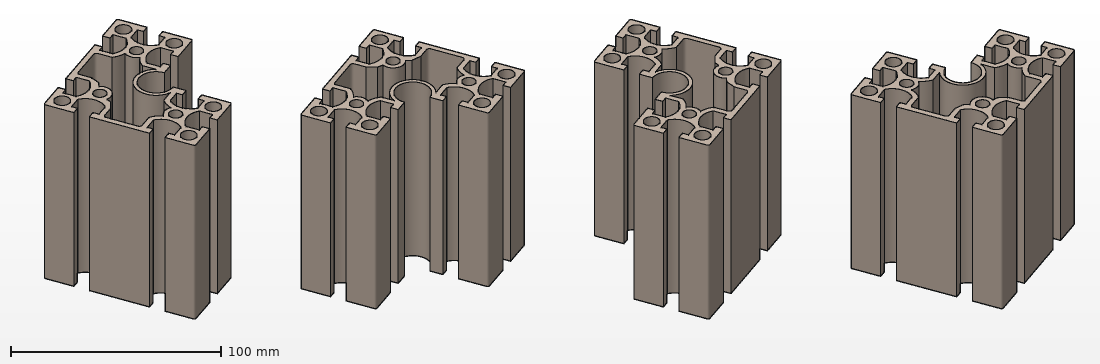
import cadquery as cq
import math

length = 100.0
cell = 40.0
side = 2 * cell
outer_fillet = 1.0

slot_opening = 8.2
slot_width = 14.5
slot_depth = 14.0
lip_thickness = 4.0
slot_floor_radius = 10.0

slot_wall = 2.9
elbow_wall = 4.0
elbow_shoulder_chamfer = 3.0
outer_wall = 3.0
boss_radius = 5.9
core_hole_radius = 3.4
corner_hole_radius = 4.0
corner_hole_inset = 6.6
cavity_fillet = 1.5

channel_radius = 9.0
channel_wall = 2.0

low = cell / 2
high = cell + low
slot_half_span = slot_width / 2 + slot_wall
cavity_end = high - slot_half_span
near = corner_hole_inset
core_holes = [(low, low), (low, high), (high, low)]
corner_holes = [
    (near, near),
    (near, side - near),
    (cell - near, side - near),
    (side - near, near),
    (side - near, cell - near),
]

elbow_slots = [
    (0, low, 0),
    (low, 0, 90),
]
arm_slots = [
    (0, high, 0),
    (cell, high, 180),
    (high, 0, 90),
    (high, cell, 270),
]
end_slots = [
    (low, side, 270),
    (side, low, 180),
]


def block(x0, y0, x1, y1):
    """Full-length block between two opposite corners."""
    middle = ((x0 + x1) / 2, (y0 + y1) / 2, 0)
    return cq.Workplane("XY").rect(x1 - x0, y1 - y0).extrude(length).translate(middle)


def bar(x, y, radius):
    """Full-length round bar."""
    return cq.Workplane("XY").center(x, y).circle(radius).extrude(length)


def round_ended(start, half_width, tip, radius):
    """Full-length strip along +X whose far end is an arc that reaches its tip on the X axis."""
    shoulder = tip - radius + math.sqrt(radius**2 - half_width**2)
    return (
        cq.Workplane("XY")
        .moveTo(start, -half_width)
        .lineTo(shoulder, -half_width)
        .threePointArc((tip, 0), (shoulder, half_width))
        .lineTo(start, half_width)
        .close()
        .extrude(length)
    )


def placed(shape, slot):
    """Move a shape from the origin to a slot mouth and turn it inward."""
    x, y, angle = slot
    return shape.rotate((0, 0, 0), (0, 0, 1), angle).translate((x, y, 0))


def make_slot():
    """Narrow mouth opening into a wide slot with a round floor."""
    mouth = block(0, -slot_opening / 2, lip_thickness, slot_opening / 2)
    return mouth.union(round_ended(lip_thickness, slot_width / 2, slot_depth, slot_floor_radius))


def make_slot_shell(floor_wall):
    """Solid around a slot, concentric with its round floor."""
    return round_ended(0, slot_half_span, slot_depth + floor_wall, slot_floor_radius + floor_wall)


def make_outline():
    """L-shaped bar with rounded convex edges and a round channel in its inner corner."""
    outline = block(0, 0, side, cell).edges("|Z").fillet(outer_fillet)
    outline = outline.union(block(0, 0, cell, side).edges("|Z").fillet(outer_fillet))
    return outline.cut(bar(cell, cell, channel_radius))


def make_cavity():
    """Hollow between the slots, the bosses and the channel wall."""
    cavity = block(outer_wall, outer_wall, cavity_end, cavity_end)
    cavity = cavity.cut(block(0, 0, low, low))

    cavity = cavity.union(block(low - slot_half_span, cavity_end, low + slot_half_span, high))
    cavity = cavity.union(block(cavity_end, low - slot_half_span, high, low + slot_half_span))
    arm_shell = make_slot_shell(slot_wall)
    for slot in arm_slots:
        cavity = cavity.cut(placed(arm_shell, slot))

    elbow_shell = make_slot_shell(elbow_wall).edges("|Z").edges(">X").chamfer(elbow_shoulder_chamfer)
    for slot in elbow_slots:
        cavity = cavity.cut(placed(elbow_shell, slot))

    cavity = cavity.edges("|Z and (<X or <Y)").fillet(cavity_fillet)

    for x, y in core_holes:
        cavity = cavity.cut(bar(x, y, boss_radius))
    return cavity.cut(bar(cell, cell, channel_radius + channel_wall))


result = make_outline().cut(make_cavity())
slot_cutter = make_slot()
for slot in elbow_slots + arm_slots + end_slots:
    result = result.cut(placed(slot_cutter, slot))
for x, y in core_holes:
    result = result.cut(bar(x, y, core_hole_radius))
for x, y in corner_holes:
    result = result.cut(bar(x, y, corner_hole_radius))